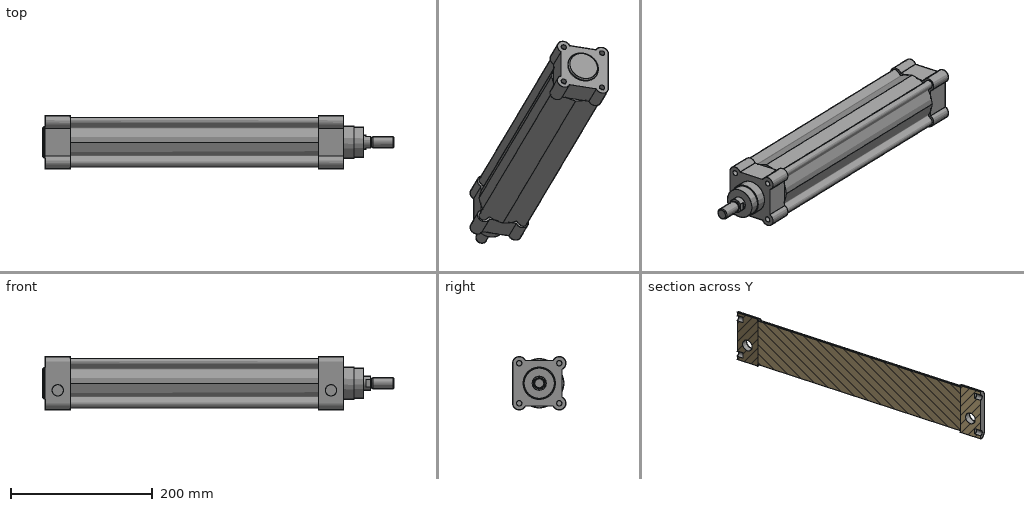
import cadquery as cq
import math

rear_spigot_length = 3.5
cover_length = 35.5
barrel_length = 350.0
neck_length = 15.0
nose_length = 13.5
overall_length = 495.5

barrel_start = rear_spigot_length + cover_length
barrel_end = barrel_start + barrel_length
front_face = barrel_end + cover_length
nose_end = front_face + neck_length + nose_length

cover_half = 37.5
recessed_half = 32.0
screw_offset = 28.0
corner_radius = cover_half - screw_offset
screw_hole_radius = 3.7
screw_hole_depth = 10.0
port_radius = 8.0
port_depth = 15.0
port_z = -10.0
spigot_radius = 22.5
rear_spigot_chamfer = 2.0
neck_radius = 23.0
nose_radius = 21.5

ridge_height = 35.0
ridge_half_width = 7.0
ridge_slope = math.asin(2 * ridge_half_width / ridge_height) / 2
barrel_radius = ridge_height * math.cos(ridge_slope)
lobe_offset = 29.0
lobe_radius = ridge_height - lobe_offset
lobe_root_fillet = 1.5

rod_radius = 10.0
flat_half_width = 8.5
flat_start = 456.0
collar_end = 462.5
groove_radius = 7.0
thread_start = 464.0
thread_radius = 8.0
thread_chamfer = 1.5


def disc(x_start, x_end, radius):
    """Cylinder on the X axis between two stations."""
    return cq.Workplane("YZ", origin=(x_start, 0, 0)).circle(radius).extrude(x_end - x_start)


def corners(offset):
    """The four (y, z) points of a square grid around the axis."""
    return [(y, z) for y in (-offset, offset) for z in (-offset, offset)]


def cover_block(x_start, outer_face):
    """Cover with round corner lobes, flush on -Y and recessed on the other sides.

    The blind screw holes start from the station outer_face.
    """
    plane = cq.Workplane("YZ", origin=(x_start, 0, 0))
    core = plane.rect(2 * recessed_half, 2 * recessed_half).extrude(cover_length)
    lobes = plane.pushPoints(corners(screw_offset)).circle(corner_radius).extrude(cover_length)
    port_pad = (
        plane.center(-(cover_half + screw_offset) / 2, 0)
        .rect(cover_half - screw_offset, 2 * screw_offset)
        .extrude(cover_length)
    )
    screw_holes = (
        cq.Workplane("YZ", origin=(outer_face, 0, 0))
        .pushPoints(corners(screw_offset))
        .circle(screw_hole_radius)
        .extrude(screw_hole_depth, both=True)
    )
    port = (
        cq.Workplane("XZ", origin=(x_start + cover_length / 2, -cover_half, port_z))
        .circle(port_radius)
        .extrude(-port_depth)
    )
    return core.union(lobes).union(port_pad).cut(screw_holes).cut(port)


def make_rear_cover():
    """Rear cover with a chamfered centring spigot."""
    spigot = disc(0, rear_spigot_length, spigot_radius).faces("<X").chamfer(rear_spigot_chamfer)
    return cover_block(rear_spigot_length, rear_spigot_length).union(spigot)


def make_front_cover():
    """Front cover with a stepped nose, bored through for the rod."""
    neck = disc(front_face, front_face + neck_length, neck_radius)
    nose = disc(front_face + neck_length, nose_end, nose_radius)
    rod_bore = disc(barrel_end, nose_end, rod_radius)
    return cover_block(barrel_end, front_face).union(neck).union(nose).cut(rod_bore)


def make_barrel():
    """Round barrel with a shallow ridge on each side and a tie lobe at each corner."""
    barrel = disc(barrel_start, barrel_end, barrel_radius)

    tangent_z = barrel_radius * math.cos(ridge_slope)
    ridge = (
        cq.Workplane("YZ", origin=(barrel_start, 0, 0))
        .polyline([(0, 0), (ridge_half_width, tangent_z), (0, ridge_height), (-ridge_half_width, tangent_z)])
        .close()
        .extrude(barrel_length)
    )

    lobe_reach = lobe_offset * math.sqrt(2)
    lobe = (
        cq.Workplane("YZ", origin=(barrel_start, 0, 0))
        .moveTo(-lobe_radius, 0)
        .lineTo(-lobe_radius, lobe_reach)
        .threePointArc((0, lobe_reach + lobe_radius), (lobe_radius, lobe_reach))
        .lineTo(lobe_radius, 0)
        .close()
        .extrude(barrel_length)
    )

    for side in range(4):
        side_angle = 90 * side
        barrel = barrel.union(ridge.rotate((0, 0, 0), (1, 0, 0), side_angle))
        barrel = barrel.union(lobe.rotate((0, 0, 0), (1, 0, 0), side_angle + 45))

    web_reach = math.sqrt(barrel_radius**2 - lobe_radius**2)
    root_near = (web_reach - lobe_radius) / math.sqrt(2)
    root_far = (web_reach + lobe_radius) / math.sqrt(2)
    barrel_middle = (barrel_start + barrel_end) / 2
    root_edges = []
    for near in (-root_near, root_near):
        for far in (-root_far, root_far):
            root_edges += barrel.edges(cq.NearestToPointSelector((barrel_middle, near, far))).vals()
            root_edges += barrel.edges(cq.NearestToPointSelector((barrel_middle, far, near))).vals()
    return barrel.newObject(root_edges).fillet(lobe_root_fillet)


def make_rod():
    """Rod with two wrench flats, an undercut and a chamfered threaded end."""
    shank = disc(barrel_end, collar_end, rod_radius)
    flat_length = collar_end - flat_start
    flat_depth = rod_radius - flat_half_width
    for side in (-1, 1):
        flat_cut = cq.Workplane("XY").box(flat_length, flat_depth, 2 * rod_radius).translate(
            ((flat_start + collar_end) / 2, side * (flat_half_width + flat_depth / 2), 0)
        )
        shank = shank.cut(flat_cut)
    undercut = disc(collar_end, thread_start, groove_radius)
    thread = (
        disc(thread_start, overall_length, thread_radius)
        .faces("<X or >X")
        .chamfer(thread_chamfer)
    )
    return shank.union(undercut).union(thread)


rear_cover = make_rear_cover()
barrel = make_barrel()
front_cover = make_front_cover()
rod = make_rod()

result = cq.Compound.makeCompound([rear_cover.val(), barrel.val(), front_cover.val(), rod.val()])